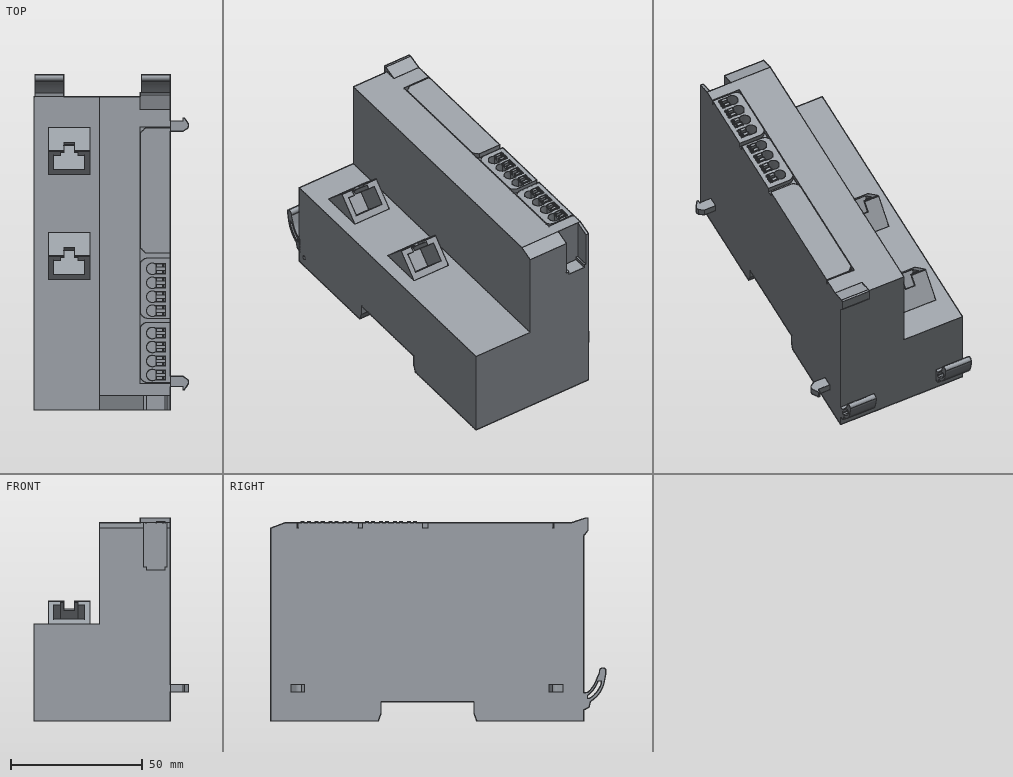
import cadquery as cq
import math

BODY_WIDTH = 52.0
BODY_LENGTH = 119.5
BODY_HEIGHT = 75.65
SHELF_WIDTH = 25.0
SHELF_HEIGHT = 37.0
FRONT_BEVEL_LENGTH = 5.6
FRONT_BEVEL_DROP = 2.1
JOIN = 1.0

RAIL_START_Y = 42.2
RAIL_WIDTH = 35.3
RAIL_DEPTH = 7.3
RAIL_MOUTH_FLARE = 1.1
RAIL_MOUTH_HEIGHT = 3.0

SLOT_LEFT_X = 41.8
SLOT_WIDTH = 9.0
SLOT_FLOOR_Z = 58.75
SLOT_STEP_LEFT_X = 43.0
SLOT_STEP_WIDTH = 7.0
SLOT_STEP_DROP = 1.2

SOCKET_CENTER_X = 13.45
SOCKET_WIDTH = 15.9
SOCKET_HEIGHT = 8.7
SOCKET_RIDGE_FLAT = 0.4
SOCKET_PEAKS_Y = (58.6, 98.6)
SOCKET_SLOPE = math.sqrt(2) * SOCKET_HEIGHT
OPENING_BASE = 2.7
OPENING_SHOULDER = SOCKET_SLOPE - 2.2
OPENING_STEP = SOCKET_SLOPE - 0.6
OPENING_WIDTH = 11.8
OPENING_STEP_WIDTH = 6.7
OPENING_DEPTH = 12.8
KEYWAY_WIDTH = 4.0
KEYWAY_DEPTH = 4.5

RECESS_LEFT_X = 40.5
RECESS_START_Y = 10.1
RECESS_END_Y = 108.0
RECESS_DEPTH = 2.0
INSERT_SIDE_GAP = 0.2
INSERT_END_GAP = 0.4
INSERT_LEFT_X = RECESS_LEFT_X + INSERT_SIDE_GAP
COVER_START_Y = 60.0
COVER_CHAMFER = 1.8
BLOCK_LENGTH = 23.0
BLOCK_STARTS_Y = (RECESS_START_Y + INSERT_END_GAP, 35.0)
CORNER_RUN = 2.8
CORNER_DROP = 1.7
CORNER_RADIUS = (CORNER_RUN**2 + CORNER_DROP**2) / (2 * CORNER_DROP)

TERMINALS_PER_BLOCK = 4
TERMINAL_PITCH = 5.33
FIRST_TERMINAL_OFFSET = 2.9
WIRE_HOLE_X = 45.15
WIRE_HOLE_DIAMETER = 4.4
WIRE_HOLE_DEPTH = 6.0
LEVER_LEFT_X = 46.6
LEVER_LENGTH = 3.5
LEVER_WIDTH = 3.9
LEVER_RISE = 0.4
LEVER_WINDOW_DEPTH = 1.0
LEVER_CLEARANCE = 0.2
LEVER_GROOVE_WIDTH = 1.2
LEVER_CROSS_GROOVE_X = 49.0
LEVER_CROSS_GROOVE_WIDTH = 0.4

CATCH_LEFT_X = 40.5
CATCH_TOP_Z = 77.45
CATCH_OVERHANG = 1.6
CATCH_FLAT = 0.9
CATCH_SLOPE_END_Y = 114.7
CATCH_FACE_END_Z = 72.7
CATCH_ROOT_Z = 70.7

HOOK_REACH = 7.0
HOOK_BOTTOM_Z = 11.0
HOOK_THICKNESS = 3.0
HOOK_BARB = 1.2
HOOK_BARB_OFFSET = 4.8
HOOK_BARB_CREST = 0.6
HOOK_NOSE_ROUNDING = 0.4
HOOK_NOSE_BEVEL = 1.2
HOOK_NOSE_WIDTH = 2.2
HOOK_STEMS = ((106.25, 110.25, 1), (12.95, 8.95, -1))

LATCH_WIDTH = 11.0
LATCHES_LEFT_X = (0.4, BODY_WIDTH - LATCH_WIDTH)
LATCH_REACH = 8.38
FOOT_BOTTOM = (0.2, 4.3)
FOOT_TOE = (2.0, 5.3)
FOOT_HEEL = (2.5, 7.5)
OUTER_BEND = (6.3, 11.2)
OUTER_NECK = (7.9, 15.6)
TIP_LOWER = (LATCH_REACH, 18.1)
TIP_UPPER = (LATCH_REACH, 19.4)
TIP_CROWN = (7.7, 20.15)
TIP_INNER = (5.9, 18.6)
INNER_NECK = (4.4, 15.0)
INNER_BEND = (3.3, 13.0)
INNER_FOOT = (1.5, 11.0)
FOOT_TOP = (-JOIN, 10.6)
FOOT_ROOT = (-JOIN, 4.3)
WINDOW_TOP_OUTER = (6.6, 15.2)
WINDOW_OUTER_START = (6.5, 14.0)
WINDOW_OUTER_BEND = (5.0, 11.3)
WINDOW_OUTER_END = (2.4, 8.8)
WINDOW_BOTTOM = (1.4, 8.6)
WINDOW_INNER_START = (1.4, 9.7)
WINDOW_INNER_BEND = (4.0, 12.5)
WINDOW_TOP_INNER = (5.4, 15.2)
PIN_HOLE_DIAMETER = 1.6
PIN_HOLE_INSET = 3.3
PIN_HOLE_Z = 4.1


def block(x, y, z, length_x, length_y, length_z):
    """Box placed by its lowest corner."""
    return cq.Workplane("XY").box(length_x, length_y, length_z, centered=False).translate((x, y, z))


def extrude_along_x(profile_yz, start_x, width):
    """Extrude a closed YZ sketch towards +X from start_x."""
    return profile_yz.extrude(width).translate((start_x, 0, 0))


def make_housing():
    shelf = block(0, 0, 0, BODY_WIDTH, BODY_LENGTH, SHELF_HEIGHT)
    tower_profile = (
        cq.Workplane("YZ")
        .moveTo(0, 0)
        .lineTo(BODY_LENGTH, 0)
        .lineTo(BODY_LENGTH, BODY_HEIGHT)
        .lineTo(FRONT_BEVEL_LENGTH, BODY_HEIGHT)
        .lineTo(0, BODY_HEIGHT - FRONT_BEVEL_DROP)
        .close()
    )
    return shelf.union(extrude_along_x(tower_profile, SHELF_WIDTH, BODY_WIDTH - SHELF_WIDTH))


def make_rail_channel():
    end_y = RAIL_START_Y + RAIL_WIDTH
    profile = (
        cq.Workplane("YZ")
        .moveTo(RAIL_START_Y - RAIL_MOUTH_FLARE, 0)
        .lineTo(RAIL_START_Y, RAIL_MOUTH_HEIGHT)
        .lineTo(RAIL_START_Y, RAIL_DEPTH)
        .lineTo(end_y, RAIL_DEPTH)
        .lineTo(end_y, RAIL_MOUTH_HEIGHT)
        .lineTo(end_y + RAIL_MOUTH_FLARE, 0)
        .close()
    )
    return extrude_along_x(profile, 0, BODY_WIDTH)


def make_front_slot():
    slot = block(SLOT_LEFT_X, 0, SLOT_FLOOR_Z, SLOT_WIDTH, FRONT_BEVEL_LENGTH, BODY_HEIGHT - SLOT_FLOOR_Z)
    step = block(
        SLOT_STEP_LEFT_X, 0, SLOT_FLOOR_Z - SLOT_STEP_DROP,
        SLOT_STEP_WIDTH, FRONT_BEVEL_LENGTH, SLOT_STEP_DROP,
    )
    return slot.union(step)


def make_socket_wedge(peak_y):
    ridge_end_y = peak_y + SOCKET_RIDGE_FLAT
    profile = (
        cq.Workplane("YZ")
        .moveTo(peak_y - SOCKET_HEIGHT - JOIN, SHELF_HEIGHT - JOIN)
        .lineTo(peak_y, SHELF_HEIGHT + SOCKET_HEIGHT)
        .lineTo(ridge_end_y, SHELF_HEIGHT + SOCKET_HEIGHT)
        .lineTo(ridge_end_y + SOCKET_HEIGHT + JOIN, SHELF_HEIGHT - JOIN)
        .close()
    )
    return extrude_along_x(profile, SOCKET_CENTER_X - SOCKET_WIDTH / 2, SOCKET_WIDTH)


def make_socket_opening(peak_y):
    """Stepped cavity and open keyway, cut square to the sloping front flank."""
    flank = cq.Workplane(
        cq.Plane(
            origin=(SOCKET_CENTER_X, peak_y - SOCKET_HEIGHT, SHELF_HEIGHT),
            xDir=(1, 0, 0),
            normal=(0, -1, 1),
        )
    )

    def pocket(width, base, top, depth):
        return flank.center(0, (base + top) / 2).rect(width, top - base).extrude(-depth)

    cavity = pocket(OPENING_WIDTH, OPENING_BASE, OPENING_SHOULDER, OPENING_DEPTH)
    step = pocket(OPENING_STEP_WIDTH, OPENING_BASE, OPENING_STEP, OPENING_DEPTH)
    keyway = pocket(KEYWAY_WIDTH, OPENING_BASE, SOCKET_SLOPE + JOIN, KEYWAY_DEPTH)
    return cavity.union(step).union(keyway)


def make_recess():
    return block(
        RECESS_LEFT_X, RECESS_START_Y, BODY_HEIGHT - RECESS_DEPTH,
        BODY_WIDTH - RECESS_LEFT_X, RECESS_END_Y - RECESS_START_Y, RECESS_DEPTH,
    )


def make_cover():
    end_y = RECESS_END_Y - INSERT_END_GAP
    plate = block(
        INSERT_LEFT_X, COVER_START_Y, BODY_HEIGHT - RECESS_DEPTH - JOIN,
        BODY_WIDTH - INSERT_LEFT_X, end_y - COVER_START_Y, RECESS_DEPTH + JOIN,
    )
    return plate.edges("|Z and <X").chamfer(COVER_CHAMFER)


def make_terminal_block(start_y):
    """Block whose two left corners are arcs running tangent into its ends."""
    end_y = start_y + BLOCK_LENGTH
    tangent_x = INSERT_LEFT_X + CORNER_RUN
    return (
        cq.Workplane("XY", origin=(0, 0, BODY_HEIGHT - RECESS_DEPTH - JOIN))
        .moveTo(tangent_x, end_y)
        .lineTo(BODY_WIDTH, end_y)
        .lineTo(BODY_WIDTH, start_y)
        .lineTo(tangent_x, start_y)
        .tangentArcPoint((INSERT_LEFT_X, start_y + CORNER_DROP), relative=False)
        .lineTo(INSERT_LEFT_X, end_y - CORNER_DROP)
        .radiusArc((tangent_x, end_y), CORNER_RADIUS)
        .close()
        .extrude(RECESS_DEPTH + JOIN)
    )


def make_wire_hole(center_y):
    bore = (
        cq.Workplane("XY", origin=(WIRE_HOLE_X, center_y, BODY_HEIGHT))
        .circle(WIRE_HOLE_DIAMETER / 2)
        .extrude(-WIRE_HOLE_DEPTH)
    )
    lever_side = block(
        LEVER_LEFT_X, center_y - WIRE_HOLE_DIAMETER / 2, BODY_HEIGHT - WIRE_HOLE_DEPTH,
        WIRE_HOLE_DIAMETER, WIRE_HOLE_DIAMETER, WIRE_HOLE_DEPTH,
    )
    return bore.cut(lever_side)


def make_lever_window(center_y):
    return block(
        LEVER_LEFT_X, center_y - LEVER_WIDTH / 2, BODY_HEIGHT - LEVER_WINDOW_DEPTH,
        LEVER_LENGTH, LEVER_WIDTH, LEVER_WINDOW_DEPTH,
    )


def make_lever(center_y):
    """Four raised pads standing in the lever window."""
    base_z = BODY_HEIGHT - LEVER_WINDOW_DEPTH - JOIN
    height = LEVER_WINDOW_DEPTH + JOIN + LEVER_RISE
    length = LEVER_LENGTH - 2 * LEVER_CLEARANCE
    width = LEVER_WIDTH - 2 * LEVER_CLEARANCE
    pad = block(LEVER_LEFT_X + LEVER_CLEARANCE, center_y - width / 2, base_z, length, width, height)
    groove = block(
        LEVER_LEFT_X, center_y - LEVER_GROOVE_WIDTH / 2, base_z,
        LEVER_LENGTH, LEVER_GROOVE_WIDTH, height,
    )
    cross_groove = block(
        LEVER_CROSS_GROOVE_X, center_y - LEVER_WIDTH / 2, base_z,
        LEVER_CROSS_GROOVE_WIDTH, LEVER_WIDTH, height,
    )
    return pad.cut(groove).cut(cross_groove)


def make_catch():
    tip_y = BODY_LENGTH + CATCH_OVERHANG
    profile = (
        cq.Workplane("YZ")
        .moveTo(CATCH_SLOPE_END_Y, BODY_HEIGHT)
        .lineTo(tip_y - CATCH_FLAT, CATCH_TOP_Z)
        .lineTo(tip_y, CATCH_TOP_Z)
        .lineTo(tip_y, CATCH_FACE_END_Z)
        .lineTo(BODY_LENGTH, CATCH_ROOT_Z)
        .lineTo(CATCH_SLOPE_END_Y, CATCH_ROOT_Z)
        .close()
    )
    return extrude_along_x(profile, CATCH_LEFT_X, BODY_WIDTH - CATCH_LEFT_X)


def make_hook(plain_y, barb_side_y, barb_direction):
    barb_x = BODY_WIDTH + HOOK_BARB_OFFSET
    barb_tip_y = barb_side_y + barb_direction * HOOK_BARB
    nose_x = BODY_WIDTH + HOOK_REACH
    nose_corner_x = nose_x - HOOK_NOSE_ROUNDING
    nose_start_y = plain_y + barb_direction * HOOK_NOSE_BEVEL
    nose_end_y = nose_start_y + barb_direction * HOOK_NOSE_WIDTH
    return (
        cq.Workplane("XY", origin=(0, 0, HOOK_BOTTOM_Z))
        .moveTo(BODY_WIDTH - JOIN, plain_y)
        .lineTo(barb_x, plain_y)
        .lineTo(nose_corner_x, nose_start_y)
        .threePointArc((nose_x, (nose_start_y + nose_end_y) / 2), (nose_corner_x, nose_end_y))
        .lineTo(barb_x + HOOK_BARB_CREST, barb_tip_y)
        .lineTo(barb_x, barb_tip_y)
        .lineTo(barb_x, barb_side_y)
        .lineTo(BODY_WIDTH - JOIN, barb_side_y)
        .close()
        .extrude(HOOK_THICKNESS)
    )


def make_latch(left_x):
    """Curved lever standing off the rear face, with a curved window through it."""
    outline = (
        cq.Workplane("YZ")
        .moveTo(*FOOT_ROOT)
        .lineTo(*FOOT_BOTTOM)
        .lineTo(*FOOT_TOE)
        .lineTo(*FOOT_HEEL)
        .threePointArc(OUTER_BEND, OUTER_NECK)
        .lineTo(*TIP_LOWER)
        .lineTo(*TIP_UPPER)
        .threePointArc(TIP_CROWN, TIP_INNER)
        .lineTo(*INNER_NECK)
        .threePointArc(INNER_BEND, INNER_FOOT)
        .lineTo(*FOOT_TOP)
        .close()
    )
    window = (
        cq.Workplane("YZ")
        .moveTo(*WINDOW_TOP_OUTER)
        .lineTo(*WINDOW_OUTER_START)
        .threePointArc(WINDOW_OUTER_BEND, WINDOW_OUTER_END)
        .lineTo(*WINDOW_BOTTOM)
        .lineTo(*WINDOW_INNER_START)
        .threePointArc(WINDOW_INNER_BEND, WINDOW_TOP_INNER)
        .close()
    )
    lever = extrude_along_x(outline, left_x, LATCH_WIDTH)
    lever = lever.cut(extrude_along_x(window, left_x, LATCH_WIDTH))
    return lever.translate((0, BODY_LENGTH, 0))


def make_pin_hole():
    center_y = BODY_LENGTH - PIN_HOLE_INSET
    circle = cq.Workplane("YZ").center(center_y, PIN_HOLE_Z).circle(PIN_HOLE_DIAMETER / 2)
    return extrude_along_x(circle, 0, LATCH_WIDTH)


part = make_housing().cut(make_rail_channel()).cut(make_front_slot())

for peak in SOCKET_PEAKS_Y:
    part = part.union(make_socket_wedge(peak)).cut(make_socket_opening(peak))

part = part.cut(make_recess()).union(make_cover())
for block_start in BLOCK_STARTS_Y:
    part = part.union(make_terminal_block(block_start))
    for index in range(TERMINALS_PER_BLOCK):
        terminal_y = block_start + FIRST_TERMINAL_OFFSET + index * TERMINAL_PITCH
        part = part.cut(make_wire_hole(terminal_y)).cut(make_lever_window(terminal_y))
        part = part.union(make_lever(terminal_y))

part = part.union(make_catch())
for hook in HOOK_STEMS:
    part = part.union(make_hook(*hook))
for latch_x in LATCHES_LEFT_X:
    part = part.union(make_latch(latch_x))

result = part.cut(make_pin_hole())